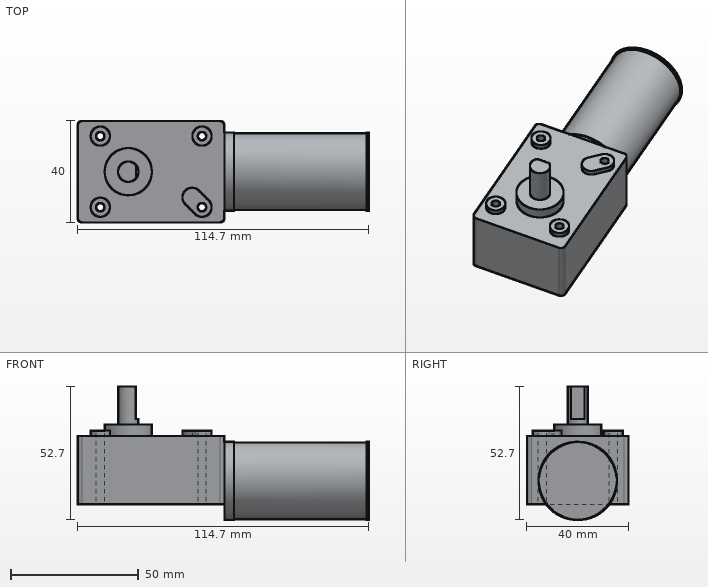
import cadquery as cq

BOX_LENGTH = 57.8
BOX_WIDTH = 40.0
BOX_HEIGHT = 27.0
CORNER_RADIUS = 1.8

SHAFT_X = 20.0
SHAFT_DIAMETER = 8.0
SHAFT_HEIGHT = 19.5
FLAT_OFFSET = 3.0
FLAT_START = 6.7
BOSS_DIAMETER = 18.6
BOSS_HEIGHT = 4.5

HOLE_DIAMETER = 3.2
PAD_DIAMETER = 7.6
PAD_HEIGHT = 2.1
PAD_EDGE_X = 9.0
PAD_SPACING_X = 40.0
PAD_SPACING_Y = 28.0
SLOT_SHIFT = 3.9

TOTAL_LENGTH = 114.7
MOTOR_DIAMETER = 30.3
COLLAR_DIAMETER = 30.8
FRONT_COLLAR_LENGTH = 3.8
REAR_COLLAR_LENGTH = 1.0
MOTOR_DROP = 6.2
MOTOR_Z = COLLAR_DIAMETER / 2 - MOTOR_DROP

PAD_XS = (PAD_EDGE_X, PAD_EDGE_X + PAD_SPACING_X)
PAD_YS = (-PAD_SPACING_Y / 2, PAD_SPACING_Y / 2)
PAD_CENTRES = [(x, y) for x in PAD_XS for y in PAD_YS]


def on_top(x, y, diameter, height):
    """Upright cylinder standing on the housing's top face."""
    return cq.Workplane("XY", origin=(x, y, BOX_HEIGHT)).circle(diameter / 2).extrude(height)


def along_motor(start, end, diameter):
    """Cylinder on the motor axis from X = start to X = end."""
    plane = cq.Workplane("YZ", origin=(start, 0, MOTOR_Z))
    return plane.circle(diameter / 2).extrude(end - start)


def make_housing():
    base = cq.Workplane("XY").center(BOX_LENGTH / 2, 0).rect(BOX_LENGTH, BOX_WIDTH)
    return base.extrude(BOX_HEIGHT).edges("|Z").fillet(CORNER_RADIUS)


def make_shaft():
    shaft = on_top(SHAFT_X, 0, SHAFT_DIAMETER, SHAFT_HEIGHT)
    flat_cut = (
        cq.Workplane("XY", origin=(SHAFT_X + FLAT_OFFSET, 0, BOX_HEIGHT + FLAT_START))
        .rect(SHAFT_DIAMETER, SHAFT_DIAMETER)
        .extrude(SHAFT_HEIGHT - FLAT_START)
        .translate((SHAFT_DIAMETER / 2, 0, 0))
    )
    boss = on_top(SHAFT_X, 0, BOSS_DIAMETER, BOSS_HEIGHT)
    return shaft.cut(flat_cut).union(boss)


def make_slot_pad():
    """Front right pad, stretched diagonally towards the housing's middle."""
    length = SLOT_SHIFT * 2**0.5 + PAD_DIAMETER
    centre_x = PAD_XS[1] - SLOT_SHIFT / 2
    centre_y = PAD_YS[0] + SLOT_SHIFT / 2
    plane = cq.Workplane("XY", origin=(centre_x, centre_y, BOX_HEIGHT))
    return plane.slot2D(length, PAD_DIAMETER, -45).extrude(PAD_HEIGHT)


def make_motor():
    can_start = BOX_LENGTH + FRONT_COLLAR_LENGTH
    can_end = TOTAL_LENGTH - REAR_COLLAR_LENGTH
    can = along_motor(can_start, can_end, MOTOR_DIAMETER)
    front_collar = along_motor(BOX_LENGTH, can_start, COLLAR_DIAMETER)
    rear_collar = along_motor(can_end, TOTAL_LENGTH, COLLAR_DIAMETER)
    return can.union(front_collar).union(rear_collar)


def make_screw_holes():
    plane = cq.Workplane("XY").pushPoints(PAD_CENTRES)
    return plane.circle(HOLE_DIAMETER / 2).extrude(BOX_HEIGHT + PAD_HEIGHT)


result = make_housing().union(make_shaft()).union(make_motor())
for pad_x, pad_y in PAD_CENTRES:
    result = result.union(on_top(pad_x, pad_y, PAD_DIAMETER, PAD_HEIGHT))
result = result.union(make_slot_pad()).cut(make_screw_holes())